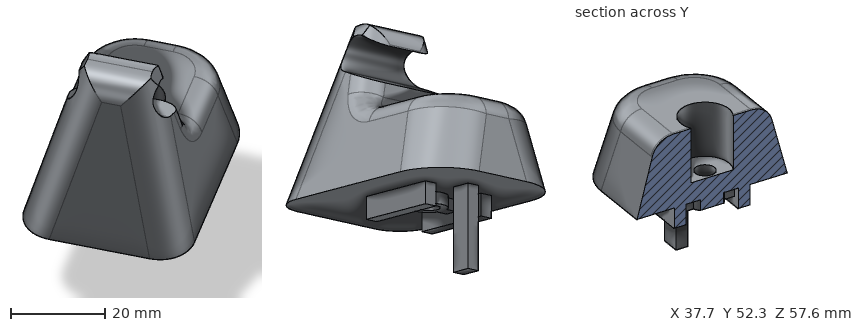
import cadquery as cq
import math

width = 37.7
depth = 52.3
body_height = 38.9
pad_height = 18.3
side_slope = math.tan(math.radians(15))
front_slope = math.tan(math.radians(15))
back_slope = math.tan(math.radians(7))
column_back_at_base = 25.7

front_corner_radius = 8.0
back_corner_radius = 12.0
inside_corner_radius = 3.55
rim_radius = 5.45
crown_front_radius = 7.0
crown_top_width = 14.4
crown_flank_slope = math.tan(math.radians(30))

slot_radius = 4.15
slot_y = 15.95
slot_z = 32.0
slot_upper_angle = 31
slot_lower_angle = 22
slot_reach = 17.3

hole_y = 29.0
hole_diameter = 4.8
counterbore_diameter = 12.0
counterbore_floor = 5.0

rail_length = 18.6
rail_width = 3.0
rail_height = 5.0
rail_outer_spacing = 19
boss_diameter = 8.25
boss_height = 2.6
web_thickness = 3.0
pin_width = 3.0
pin_depth = 4.65
overall_height = 57.6
pin_length = overall_height - body_height


def column_back(z):
    return column_back_at_base - z * back_slope


def edge_near(x, y, z):
    return cq.selectors.NearestToPointSelector((x, y, z))


def tapered_block():
    """Side profile trimmed by the two sloping side walls, rounded only at the column foot."""
    profile = (
        cq.Workplane("YZ")
        .polyline([
            (0, 0),
            (body_height * front_slope, body_height),
            (column_back(body_height), body_height),
            (column_back(pad_height), pad_height),
            (depth - pad_height * back_slope, pad_height),
            (depth, 0),
        ])
        .close()
        .extrude(width / 2, both=True)
    )
    top_half_width = width / 2 - body_height * side_slope
    side_walls = (
        cq.Workplane("XZ")
        .polyline([
            (-width / 2, 0),
            (width / 2, 0),
            (top_half_width, body_height),
            (-top_half_width, body_height),
        ])
        .close()
        .extrude(-depth)
    )
    column_foot = edge_near(0, column_back(pad_height), pad_height)
    return profile.intersect(side_walls).edges(column_foot).fillet(inside_corner_radius)


def front_rounded():
    """Tapered block with both front corners rounded over their whole height."""
    middle = body_height / 2
    corner_x = width / 2 - middle * side_slope
    corner_y = middle * front_slope
    corners = edge_near(corner_x, corner_y, middle) + edge_near(-corner_x, corner_y, middle)
    return tapered_block().edges(corners).fillet(front_corner_radius)


def rim_rounded():
    """Tapered block with its back corners and whole upper rim rounded."""
    middle = pad_height / 2
    corner_x = width / 2 - middle * side_slope
    corner_y = depth - middle * back_slope
    corners = edge_near(corner_x, corner_y, middle) + edge_near(-corner_x, corner_y, middle)
    block = tapered_block().edges(corners).fillet(back_corner_radius)
    back_edge = edge_near(0, depth - pad_height * back_slope, pad_height)
    return block.edges(back_edge).fillet(rim_radius)


def crown_envelope():
    """Side outline whose top is two arcs, tangent to the sloping faces and to each other."""
    front_angle = math.atan(front_slope)
    back_angle = math.atan(back_slope)
    front_center_z = body_height - crown_front_radius
    crown_y = front_center_z * front_slope + crown_front_radius / math.cos(front_angle)
    top_back_length = column_back(body_height) - crown_y
    crown_back_radius = top_back_length / (1 / math.cos(back_angle) - back_slope)

    def front_arc(angle):
        return (
            crown_y - crown_front_radius * math.cos(angle),
            body_height - crown_front_radius * (1 - math.sin(angle)),
        )

    def back_arc(angle):
        return (
            crown_y + crown_back_radius * math.cos(angle),
            body_height - crown_back_radius * (1 - math.sin(angle)),
        )

    arc_middle = math.radians(45)
    front_start = front_arc(front_angle)
    back_end = back_arc(back_angle)
    return (
        cq.Workplane("YZ")
        .moveTo(0, 0)
        .lineTo(*front_start)
        .threePointArc(front_arc(arc_middle), (crown_y, body_height))
        .threePointArc(back_arc(arc_middle), back_end)
        .lineTo(depth, back_end[1])
        .lineTo(depth, 0)
        .close()
        .extrude(width / 2, both=True)
    )


def crown_flanks():
    """Front outline whose steeper sloping sides narrow the crown near its top."""
    top_half = crown_top_width / 2
    base_half = top_half + body_height * crown_flank_slope
    return (
        cq.Workplane("XZ")
        .polyline([
            (-base_half, 0),
            (base_half, 0),
            (top_half, body_height),
            (-top_half, body_height),
        ])
        .close()
        .extrude(-depth)
    )


def hook_slot():
    """Round-ended slot, open to the back, with flaring straight sides."""
    upper = math.radians(slot_upper_angle)
    lower = math.radians(slot_lower_angle)
    upper_start = (slot_y + slot_radius * math.sin(upper), slot_z + slot_radius * math.cos(upper))
    lower_start = (slot_y - slot_radius * math.sin(lower), slot_z - slot_radius * math.cos(lower))
    return (
        cq.Workplane("YZ")
        .moveTo(*lower_start)
        .threePointArc((slot_y - slot_radius, slot_z), upper_start)
        .lineTo(upper_start[0] + slot_reach, upper_start[1] - slot_reach * math.tan(upper))
        .lineTo(lower_start[0] + slot_reach, lower_start[1] - slot_reach * math.tan(lower))
        .close()
        .extrude(width / 2, both=True)
    )


def hanging_block(x, y, size_x, size_y, height):
    """Block centred at (x, y), hanging below the mounting face."""
    return (
        cq.Workplane("XY")
        .center(x, y)
        .rect(size_x, size_y)
        .extrude(-height)
    )


def at_hole(z):
    return cq.Workplane("XY", origin=(0, hole_y, z))


result = front_rounded().intersect(rim_rounded())
result = result.intersect(crown_envelope()).intersect(crown_flanks())
result = result.cut(hook_slot())

for side in (-1, 1):
    rail_x = side * (rail_outer_spacing - rail_width) / 2
    result = result.union(hanging_block(rail_x, hole_y, rail_width, rail_length, rail_height))
web_length = rail_outer_spacing - rail_width
result = result.union(hanging_block(0, hole_y, web_length, web_thickness, boss_height))
result = result.union(at_hole(0).circle(boss_diameter / 2).extrude(-boss_height))
pin_y = hole_y + rail_length / 2 + pin_depth / 2
result = result.union(hanging_block(0, pin_y, pin_width, pin_depth, pin_length))

result = result.cut(at_hole(-boss_height).circle(hole_diameter / 2).extrude(body_height))
counterbore = at_hole(counterbore_floor).circle(counterbore_diameter / 2)
result = result.cut(counterbore.extrude(slot_z - counterbore_floor))